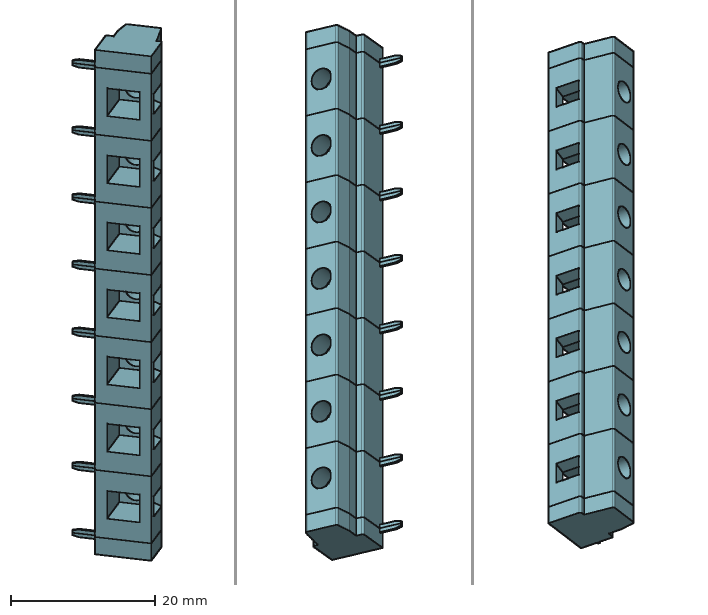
import cadquery as cq

LENGTH = 76.2
MODULE_COUNT = 7
PITCH = 10.1
END_THICKNESS = (LENGTH - MODULE_COUNT * PITCH) / 2

WIDTH = 8.15
DEPTH = 10.0
SHOULDER_Y = 5.4
LEFT_SHOULDER = 1.15
RIGHT_SHOULDER = 0.85
LEFT_TAPER_START_Y = 7.4
CROWN_LEFT_X = 1.6
CROWN_RIGHT_X = 6.7
CORNER_RADIUS = 0.3

POCKET_WIDTH = 4.7
POCKET_HEIGHT = 4.2
POCKET_DEPTH = 6.1
POCKET_CENTRE_X = 4.1
POCKET_RIGHT_X = POCKET_CENTRE_X + POCKET_WIDTH / 2

SCREW_HOLE_DIAMETER = 3.1

SLOT_FRONT_Y = 1.3
SLOT_LENGTH = 3.8
SLOT_INNER_HEIGHT = 1.9
SLOT_OUTER_HEIGHT = 3.05

PIN_LENGTH = 3.4
PIN_FRONT_Y = 0.5
PIN_THICKNESS = 0.4
PIN_HALF_HEIGHT = 0.57
PIN_TIP_HALF_HEIGHT = 0.34
PIN_TIP_LENGTH = 0.9

UP = 1
DOWN = -1


def make_block(bottom, height):
    """Stepped block from the given Z level, with its four outer corners at the back rounded."""
    block = (
        cq.Workplane("XY", origin=(0, 0, bottom))
        .lineTo(WIDTH, 0)
        .lineTo(WIDTH, SHOULDER_Y)
        .lineTo(WIDTH - RIGHT_SHOULDER, SHOULDER_Y)
        .lineTo(CROWN_RIGHT_X, DEPTH)
        .lineTo(CROWN_LEFT_X, DEPTH)
        .lineTo(LEFT_SHOULDER, LEFT_TAPER_START_Y)
        .lineTo(LEFT_SHOULDER, SHOULDER_Y)
        .lineTo(0, SHOULDER_Y)
        .close()
        .extrude(height)
    )
    middle = bottom + height / 2
    outer_corners = [
        (0, SHOULDER_Y, middle),
        (WIDTH, SHOULDER_Y, middle),
        (CROWN_LEFT_X, DEPTH, middle),
        (CROWN_RIGHT_X, DEPTH, middle),
    ]
    for corner in outer_corners:
        block = block.edges(cq.NearestToPointSelector(corner)).fillet(CORNER_RADIUS)
    return block


def make_half_pin(joint, direction):
    """Half of a pin on the left side, lying above or below the joint, with a tapered tip."""
    shoulder_z = joint + direction * PIN_HALF_HEIGHT
    tip_z = joint + direction * PIN_TIP_HALF_HEIGHT
    return (
        cq.Workplane("XZ", origin=(0, PIN_FRONT_Y, 0))
        .moveTo(0, joint)
        .lineTo(-PIN_LENGTH, joint)
        .lineTo(-PIN_LENGTH, tip_z)
        .lineTo(PIN_TIP_LENGTH - PIN_LENGTH, shoulder_z)
        .lineTo(0, shoulder_z)
        .close()
        .extrude(-PIN_THICKNESS)
    )


def make_pocket(middle):
    return (
        cq.Workplane("XZ", origin=(POCKET_CENTRE_X, 0, middle))
        .rect(POCKET_WIDTH, POCKET_HEIGHT)
        .extrude(-POCKET_DEPTH)
    )


def make_screw_hole(middle):
    return (
        cq.Workplane("XZ", origin=(POCKET_CENTRE_X, 0, middle))
        .circle(SCREW_HOLE_DIAMETER / 2)
        .extrude(-DEPTH)
    )


def make_wire_slot(middle):
    return (
        cq.Workplane("XZ", origin=(0, SLOT_FRONT_Y, middle))
        .moveTo(POCKET_RIGHT_X, -SLOT_INNER_HEIGHT / 2)
        .lineTo(WIDTH, -SLOT_OUTER_HEIGHT / 2)
        .lineTo(WIDTH, SLOT_OUTER_HEIGHT / 2)
        .lineTo(POCKET_RIGHT_X, SLOT_INNER_HEIGHT / 2)
        .close()
        .extrude(-SLOT_LENGTH)
    )


def make_module(bottom):
    """Terminal module with its openings and a half pin at each joint."""
    middle = bottom + PITCH / 2
    return (
        make_block(bottom, PITCH)
        .cut(make_pocket(middle))
        .cut(make_screw_hole(middle))
        .cut(make_wire_slot(middle))
        .union(make_half_pin(bottom, UP))
        .union(make_half_pin(bottom + PITCH, DOWN))
    )


def make_end_plate(bottom, joint, direction):
    """Plain end plate with one half pin at its joint to the modules."""
    return make_block(bottom, END_THICKNESS).union(make_half_pin(joint, direction))


first_joint = END_THICKNESS
last_joint = LENGTH - END_THICKNESS

lower_end_plate = make_end_plate(0, first_joint, DOWN)
upper_end_plate = make_end_plate(last_joint, last_joint, UP)
modules = [make_module(first_joint + index * PITCH) for index in range(MODULE_COUNT)]

result = cq.Compound.makeCompound([
    lower_end_plate.val(),
    *[module.val() for module in modules],
    upper_end_plate.val(),
])